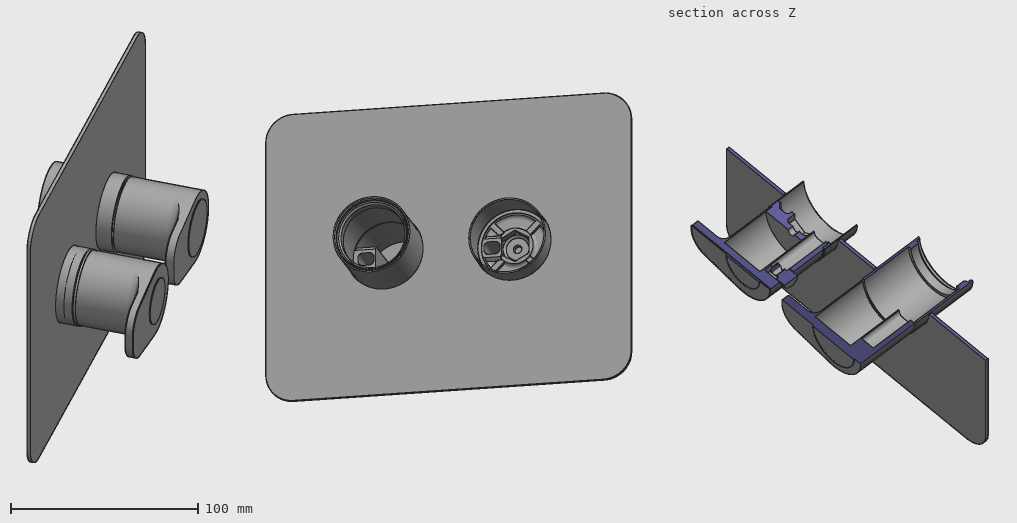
import cadquery as cq
import math


PLATE_WIDTH = 200.0
PLATE_HEIGHT = 160.0
PLATE_THICKNESS = 2.0
PLATE_BACK = 30.8
PLATE_CORNER_RADIUS = 15.0

AXIS_OFFSET = 35.0
FLOW_Y = AXIS_OFFSET
TEMPERATURE_Y = -AXIS_OFFSET

SLEEVE_DIAMETER = 42.0
SLEEVE_CLEARANCE_DIAMETER = 42.5
LONG_SLEEVE_END = 41.5
LONG_SLEEVE_BORE = 39.0
MOUTH_DIAMETER = 40.5
MOUTH_CHAMFER = 0.5
LIP_DIAMETER = 35.0
LIP_CONE_DIAMETER = 37.2
LIP_START = 2.5
LIP_CONE_END = 3.5
LIP_END = 8.8
SHORT_SLEEVE_START = 18.5
SHORT_SLEEVE_END = 43.8
SHORT_SLEEVE_BORE = 40.5
COLLAR_SEAT_DIAMETER = 40.8
COLLAR_SEAT_START = 37.2
COUNTERBORE_DIAMETER = 41.2
COUNTERBORE_START = 41.8

KNOB_DIAMETER = 41.0
KNOB_RADIUS = KNOB_DIAMETER / 2
KNOB_START = 42.5
KNOB_FRONT = 82.5
KNOB_BORE = 39.0

LEVER_THICKNESS = 5.0
LEVER_BACK = KNOB_FRONT - LEVER_THICKNESS
LEVER_REACH = 40.2
LEVER_TAPER = 9.2
LEVER_CORNER_RADIUS = 12.5
LEVER_EDGE_CHAMFER = 0.5
LEVER_BLEND_RADIUS = 5.0

COVER_THICKNESS = 0.5
DISC_HEIGHT = 0.5
FLOW_DISC_DIAMETER = 31.5
TEMPERATURE_DISC_DIAMETER = 25.5

BLOCK_INNER_Y = 7.5
BLOCK_WIDTH = 14.0
BLOCK_CHAMFER = 1.8
FLOW_BLOCK_BACK = KNOB_START
TEMPERATURE_BLOCK_BACK = 38.0
WINDOW_LENGTH = 8.8
WINDOW_WIDTH = 7.0
WINDOW_CENTER_Y = 12.8
WINDOW_CORNER_RADIUS = 2.8

BUTTON_X = 70.0
BUTTON_DIAMETER = 9.8
BUTTON_BORE = 10.0
BUTTON_BORE_END = 8.8
BUTTON_TOP = 23.8
BUTTON_SHOULDER = 17.2
STEM_DIAMETER = 6.5
STEM_END = 10.8
CROSS_HOLE_DIAMETER = 3.2

INSERT_START = COLLAR_SEAT_START
INSERT_END = 47.2
POCKET_DIAMETER = 35.0
POCKET_DEPTH = 3.0
POCKET_FILLET = 2.0
HUB_DIAMETER = 20.0
RIB_WIDTH = 3.2
RIB_RECESS = 0.8
RIM_DIAMETER = 36.8
RIB_ANGLES = (45, 135, 225, 315)
HEX_ACROSS_FLATS = 15.2
HEX_DEPTH = 5.0
SEAT_DIAMETER = 12.5
SEAT_DEPTH = 1.5
CENTER_HOLE_DIAMETER = 4.5


def section(x, y=0.0):
    """Workplane across the handle axes at height x, centred at y."""
    return cq.Workplane("YZ", origin=(x, y, 0))


def disc(diameter, start, end, y=0.0):
    return section(start, y).circle(diameter / 2).extrude(end - start)


def ring_profile(points):
    """Plane XY profile of (x, radius) points turned about the X axis."""
    return cq.Workplane("XY").polyline(points).close().revolve(360, (0, 0, 0), (1, 0, 0))


def make_plate():
    plate = section(PLATE_BACK).rect(PLATE_WIDTH, PLATE_HEIGHT).extrude(PLATE_THICKNESS)
    plate = plate.edges("|X").fillet(PLATE_CORNER_RADIUS)
    for y in (FLOW_Y, TEMPERATURE_Y):
        plate = plate.cut(disc(SLEEVE_CLEARANCE_DIAMETER, PLATE_BACK, PLATE_BACK + PLATE_THICKNESS, y))
    return plate


def make_long_sleeve():
    """Sleeve with a chamfered mouth and an inner lip near its wall end, entered by a short cone."""
    outer = SLEEVE_DIAMETER / 2
    mouth = MOUTH_DIAMETER / 2
    bore = LONG_SLEEVE_BORE / 2
    cone = LIP_CONE_DIAMETER / 2
    lip = LIP_DIAMETER / 2
    return ring_profile([
        (0, outer),
        (0, mouth),
        (MOUTH_CHAMFER, bore),
        (LIP_START, bore),
        (LIP_START, cone),
        (LIP_CONE_END, lip),
        (LIP_END, lip),
        (LIP_END, bore),
        (LONG_SLEEVE_END, bore),
        (LONG_SLEEVE_END, outer),
    ])


def make_short_sleeve():
    """Sleeve with a seat for the insert collar and a counterbore for the rim of the knob."""
    sleeve = disc(SLEEVE_DIAMETER, SHORT_SLEEVE_START, SHORT_SLEEVE_END)
    sleeve = sleeve.cut(disc(SHORT_SLEEVE_BORE, SHORT_SLEEVE_START, SHORT_SLEEVE_END))
    sleeve = sleeve.cut(disc(COLLAR_SEAT_DIAMETER, COLLAR_SEAT_START, SHORT_SLEEVE_END))
    return sleeve.cut(disc(COUNTERBORE_DIAMETER, COUNTERBORE_START, SHORT_SLEEVE_END))


def lever_prism(start, end):
    """Tapered blade from the tangent points on the knob to its rounded tip at -Y."""
    taper = math.radians(LEVER_TAPER)
    tangent_y = -KNOB_RADIUS * math.sin(taper)
    tangent_z = KNOB_RADIUS * math.cos(taper)
    tip_z = tangent_z - (LEVER_REACH + tangent_y) * math.tan(taper)
    outline = [(tangent_y, tangent_z), (-LEVER_REACH, tip_z), (-LEVER_REACH, -tip_z), (tangent_y, -tangent_z)]
    prism = section(start).polyline(outline).close().extrude(end - start)
    return prism.edges("|X and <Y").fillet(LEVER_CORNER_RADIUS)


def make_lever(front):
    """Lever blade with a chamfered back edge and a concave blend into the knob."""
    blade = lever_prism(LEVER_BACK, front).faces("<X").chamfer(LEVER_EDGE_CHAMFER)
    blend_start = LEVER_BACK - LEVER_BLEND_RADIUS
    blend_outer = KNOB_RADIUS + LEVER_BLEND_RADIUS
    root = LEVER_BLEND_RADIUS * (1 - math.sqrt(0.5))
    blend = (
        cq.Workplane("XY")
        .moveTo(blend_start, 0)
        .lineTo(blend_start, KNOB_RADIUS)
        .threePointArc((LEVER_BACK - root, KNOB_RADIUS + root), (LEVER_BACK, blend_outer))
        .lineTo(LEVER_BACK + LEVER_EDGE_CHAMFER, blend_outer)
        .lineTo(LEVER_BACK + LEVER_EDGE_CHAMFER, 0)
        .close()
        .revolve(360, (0, 0, 0), (1, 0, 0))
    )
    return blade.union(blend.intersect(lever_prism(blend_start, front)))


def make_guide_block(back):
    """Block with two chamfered long edges, standing on the bore floor at the +Y side."""
    length = KNOB_BORE / 2 - BLOCK_INNER_Y
    block = (
        section(back, BLOCK_INNER_Y + length / 2)
        .rect(length, BLOCK_WIDTH)
        .extrude(LEVER_BACK - back)
    )
    block = block.faces("<X").edges("|Y").chamfer(BLOCK_CHAMFER)
    return block.intersect(disc(KNOB_BORE, back, LEVER_BACK))


def window(back):
    """Rounded opening in the guide block, from its back face to the button axis."""
    opening = section(back, WINDOW_CENTER_Y).rect(WINDOW_LENGTH, WINDOW_WIDTH).extrude(BUTTON_X - back)
    return opening.edges("|X").fillet(WINDOW_CORNER_RADIUS)


def make_knob(front, block_back):
    """Hollow knob with its lever and the windowed guide block, up to the given front face."""
    bore = disc(KNOB_BORE, KNOB_START, LEVER_BACK)
    knob = disc(KNOB_DIAMETER, KNOB_START, front).union(make_lever(front))
    return knob.cut(bore).union(make_guide_block(block_back)).cut(window(block_back))


def button_cylinder(diameter, start, end):
    return cq.Workplane("XZ", origin=(BUTTON_X, start, 0)).circle(diameter / 2).extrude(start - end)


def make_flow_knob():
    raised_disc = disc(FLOW_DISC_DIAMETER, KNOB_FRONT, KNOB_FRONT + DISC_HEIGHT)
    return make_knob(KNOB_FRONT, FLOW_BLOCK_BACK).union(raised_disc)


def make_temperature_knob():
    """Knob with a button bore, open to the inside through the window of its guide block."""
    knob = make_knob(KNOB_FRONT - COVER_THICKNESS, TEMPERATURE_BLOCK_BACK)
    return knob.cut(button_cylinder(BUTTON_BORE, BUTTON_BORE_END, BUTTON_TOP))


def make_cover():
    """Thin front plate with the outline of the knob and lever, and a raised disc."""
    start = KNOB_FRONT - COVER_THICKNESS
    cover = disc(KNOB_DIAMETER, start, KNOB_FRONT).union(lever_prism(start, KNOB_FRONT))
    return cover.union(disc(TEMPERATURE_DISC_DIAMETER, KNOB_FRONT, KNOB_FRONT + DISC_HEIGHT))


def make_insert():
    """Ribbed disc with a collar, a hexagonal drive socket and a notch around the guide block."""
    insert = disc(KNOB_BORE, INSERT_START, INSERT_END)
    insert = insert.union(disc(COLLAR_SEAT_DIAMETER, INSERT_START, KNOB_START))
    pocket_end = INSERT_START + POCKET_DEPTH
    pocket = disc(POCKET_DIAMETER, INSERT_START, pocket_end)
    pocket = pocket.cut(disc(HUB_DIAMETER, INSERT_START, pocket_end))
    pocket = pocket.faces(">X").edges().fillet(POCKET_FILLET)
    for angle in RIB_ANGLES:
        rib = section(INSERT_START).rect(POCKET_DIAMETER, RIB_WIDTH).extrude(POCKET_DEPTH)
        pocket = pocket.cut(rib.rotate((0, 0, 0), (1, 0, 0), angle))
    for sector in pocket.solids().vals():
        insert = insert.cut(cq.Workplane(sector))
    recess_end = INSERT_START + RIB_RECESS
    recess = disc(RIM_DIAMETER, INSERT_START, recess_end)
    insert = insert.cut(recess.cut(disc(HUB_DIAMETER, INSERT_START, recess_end)))

    hex_diameter = HEX_ACROSS_FLATS / math.cos(math.pi / 6)
    socket = section(INSERT_START).polygon(6, hex_diameter).extrude(HEX_DEPTH)
    socket = socket.rotate((0, 0, 0), (1, 0, 0), 30)
    insert = insert.cut(socket)
    hex_end = INSERT_START + HEX_DEPTH
    seat = ring_profile([
        (hex_end, 0),
        (hex_end, HEX_ACROSS_FLATS / 2),
        (hex_end + SEAT_DEPTH, SEAT_DIAMETER / 2),
        (hex_end + SEAT_DEPTH, 0),
    ])
    insert = insert.cut(seat)
    insert = insert.cut(disc(CENTER_HOLE_DIAMETER, INSERT_START, INSERT_END))

    notch_length = POCKET_DIAMETER / 2 - BLOCK_INNER_Y
    notch_center = BLOCK_INNER_Y + notch_length / 2
    notch_depth = INSERT_END - INSERT_START
    notch = section(INSERT_START, notch_center).rect(notch_length, BLOCK_WIDTH).extrude(notch_depth)
    notch = notch.intersect(disc(POCKET_DIAMETER, INSERT_START, INSERT_END))
    return insert.cut(notch).cut(make_guide_block(TEMPERATURE_BLOCK_BACK))


def make_button():
    """Round push button on a stem with a cross hole."""
    button = button_cylinder(BUTTON_DIAMETER, BUTTON_SHOULDER, BUTTON_TOP)
    button = button.union(button_cylinder(STEM_DIAMETER, STEM_END, BUTTON_SHOULDER))
    hole_y = (STEM_END + BUTTON_SHOULDER) / 2
    hole_start = BUTTON_X - STEM_DIAMETER
    return button.cut(disc(CROSS_HOLE_DIAMETER, hole_start, BUTTON_X + STEM_DIAMETER, hole_y))


def on_flow_axis(body):
    return body.translate((0, FLOW_Y, 0))


def on_temperature_axis(body):
    return body.translate((0, TEMPERATURE_Y, 0))


plate = make_plate()
long_sleeve = on_flow_axis(make_long_sleeve())
flow_knob = on_flow_axis(make_flow_knob())
short_sleeve = on_temperature_axis(make_short_sleeve())
temperature_knob = on_temperature_axis(make_temperature_knob())
cover = on_temperature_axis(make_cover())
insert = on_temperature_axis(make_insert())
button = on_temperature_axis(make_button())

result = cq.Compound.makeCompound([
    plate.val(),
    long_sleeve.val(),
    flow_knob.val(),
    short_sleeve.val(),
    temperature_knob.val(),
    cover.val(),
    insert.val(),
    button.val(),
])